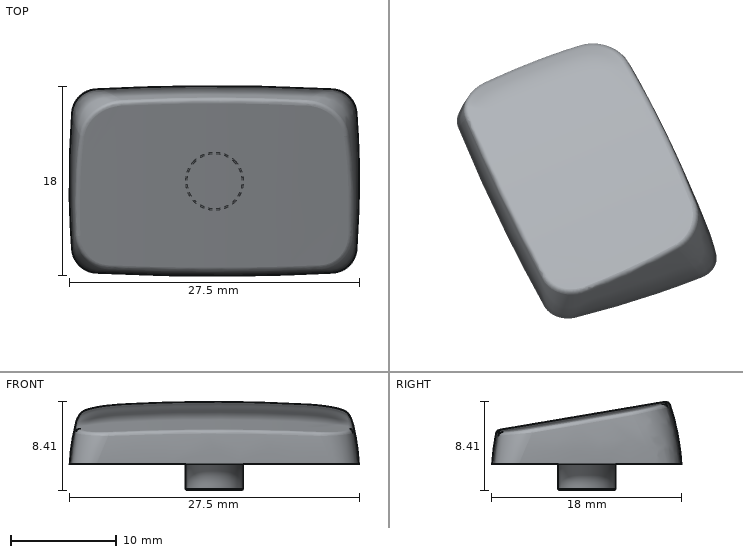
import cadquery as cq
import math

length = 27.5
width = 18.0

sections = [
    (0, 0, 2.48, 0.4, 0.45),
    (3.02, 0.4, 3.45, 0.47, 0.5),
    (6.32, 1.35, 4.25, 0.65, 0.72),
]

tilt = 9.6
crown_radius = 192.5
crown_back_y = 8.3
crown_back_z = 6.08
cutter_length = 2 * length
cutter_clearance = 16.5
rim_fillet = 0.5

post_diameter = 5.5
post_length = 2.48
post_chamfer = 0.15


def bowed_outline(height, inset, corner_radius, side_bow, end_bow):
    """Rounded rectangle whose four sides bulge outward as shallow arcs."""
    half_x = length / 2 - inset
    half_y = width / 2 - inset
    corner_x = half_x - end_bow
    corner_y = half_y - side_bow
    wire = (
        cq.Workplane("XY", origin=(0, 0, height))
        .moveTo(-corner_x, -corner_y)
        .threePointArc((0, -half_y), (corner_x, -corner_y))
        .threePointArc((half_x, 0), (corner_x, corner_y))
        .threePointArc((0, half_y), (-corner_x, corner_y))
        .threePointArc((-half_x, 0), (-corner_x, -corner_y))
        .close()
        .val()
    )
    return wire.fillet2D(corner_radius, wire.Vertices())


def crown_cutter():
    """Material above the crowned, tilted top surface."""
    crown_side_z = math.sqrt(crown_radius**2 - length**2) - crown_radius
    block = (
        cq.Workplane("XZ")
        .moveTo(-length, cutter_clearance)
        .lineTo(-length, crown_side_z)
        .threePointArc((0, 0), (length, crown_side_z))
        .lineTo(length, cutter_clearance)
        .close()
        .extrude(cutter_length / 2, both=True)
    )
    return block.rotate((0, 0, 0), (1, 0, 0), tilt).translate((0, crown_back_y, crown_back_z))


def make_cap():
    wires = [bowed_outline(*section) for section in sections]
    cap = cq.Workplane(cq.Solid.makeLoft(wires)).cut(crown_cutter())
    return cap.faces(">Z").edges().fillet(rim_fillet)


def make_post():
    post = cq.Workplane("XY").circle(post_diameter / 2).extrude(-post_length)
    return post.faces("<Z").edges().chamfer(post_chamfer)


result = make_cap().union(make_post())